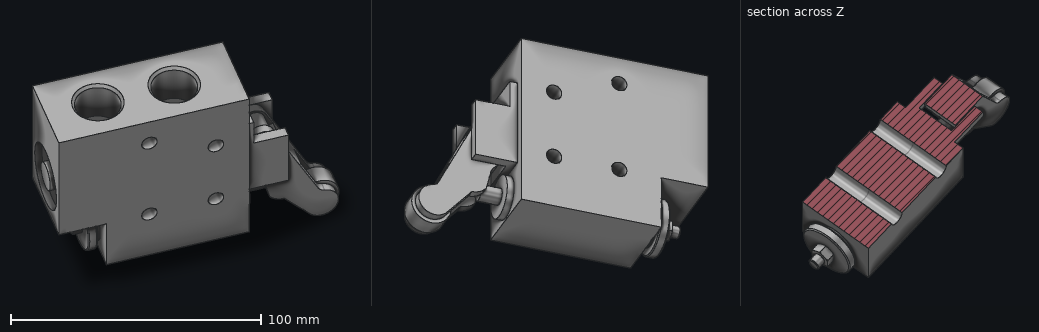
import cadquery as cq
import math

overall_length = 122.0
overall_height = 86.0

body_width = 34.0
body_length = 80.0
body_height = 75.0
step_length = 20.0
step_height = 23.0

cross_hole_diameter = 6.5
cross_hole_centres = [(66.0, 23.0), (66.0, 52.9), (38.0, 23.0), (38.0, 63.0)]

port_diameter = 18.7
port_mouth_diameter = 21.0
port_depth = 17.1
port_places_y = [22.0, 54.0]

recess_diameter = 28.0
recess_boss_diameter = 12.0
recess_depth = 3.0
recess_z = 40.0

spool_z = 10.0
collar_diameter = 18.0
front_collar_length = 1.0
rear_collar_length = 2.9
neck_diameter = 17.0
neck_length = 1.0
knob_diameter = 24.0
knob_thickness = 3.9
knob_chamfer = 0.5
nut_across_flats = 8.0
nut_thickness = 4.0
nut_chamfer = 0.4
stud_diameter = 5.0
stud_chamfer = 0.4
stud_end_y = 6.1
plunger_diameter = 7.0
plunger_end_y = 91.8

bracket_width = 25.4
bracket_plate_thickness = 3.3
bracket_bottom_z = 19.5
bracket_plate_top_z = 56.6
cheek_top_z = 45.0
cheek_end_y = 97.9
cheek_gap = 16.5

lever_width = 16.0
fork_gap = 8.5
hub_diameter = 11.0
hub_y = 88.9
hub_z = 39.6
pivot_diameter = 9.0
pivot_grip = 1.8
hub_slot_reach = 5.6
roller_diameter = 17.0
roller_width = 8.0
roller_y = overall_length - roller_diameter / 2
roller_z = body_height - overall_height + roller_diameter / 2
fork_end_diameter = 13.9
fork_slot_reach = 22.0
axle_diameter = 6.0
upper_edge_offset = 2.5
upper_fillet_radius = 3.7
slot_depth = 48.8

heel_corner = (97.7, 4.8)
heel_arc_middle = (94.4, 5.5)
contact_bottom = (91.6, 7.5)
contact_top = (89.8, 14.6)
throat_arc_middle = (88.8, 17.2)
throat_top = (86.6, 19.4)


def rod(diameter, start_y, end_y, z):
    """Round rod along Y on the body's middle plane."""
    return (
        cq.Workplane("XZ", origin=(0, start_y, z))
        .circle(diameter / 2)
        .extrude(start_y - end_y)
    )


def cross_rod(diameter, length, y, z):
    """Round rod along X, centred on the middle plane."""
    return (
        cq.Workplane("YZ", origin=(0, y, z))
        .circle(diameter / 2)
        .extrude(length / 2, both=True)
    )


def block(width, y_range, z_range):
    """Box centred on X and spanning the given Y and Z ranges."""
    length = y_range[1] - y_range[0]
    height = z_range[1] - z_range[0]
    return (
        cq.Workplane("XY", origin=(0, y_range[0], z_range[0]))
        .box(width, length, height, centered=(True, False, False))
    )


def make_body():
    """Stepped block with cross holes, two ports and the front recess."""
    body = block(body_width, (0, body_length), (0, body_height))
    body = body.cut(block(body_width, (0, step_length), (0, step_height)))
    for y, z in cross_hole_centres:
        body = body.cut(cross_rod(cross_hole_diameter, body_width, y, z))
    mouth_chamfer = (port_mouth_diameter - port_diameter) / 2
    for y in port_places_y:
        port = (
            cq.Workplane("XY", origin=(0, y, body_height))
            .circle(port_diameter / 2)
            .extrude(-port_depth)
        )
        mouth = (
            cq.Workplane("XY", origin=(0, y, body_height))
            .circle(port_mouth_diameter / 2)
            .extrude(-mouth_chamfer, taper=45)
        )
        body = body.cut(port).cut(mouth)
    recess = rod(recess_diameter, 0, recess_depth, recess_z)
    boss = rod(recess_boss_diameter, 0, recess_depth, recess_z)
    return body.cut(recess.cut(boss))


def make_knob():
    """Collar, neck, disc, hexagon nut and stud stacked forward from the step face."""
    neck_y = step_length - front_collar_length
    disc_y = neck_y - neck_length
    nut_y = disc_y - knob_thickness
    stud_y = nut_y - nut_thickness
    collar = rod(collar_diameter, step_length, neck_y, spool_z)
    neck = rod(neck_diameter, neck_y, disc_y, spool_z)
    disc = rod(knob_diameter, disc_y, nut_y, spool_z).faces("<Y or >Y").chamfer(knob_chamfer)
    nut_across_corners = nut_across_flats / math.cos(math.pi / 6)
    nut = (
        cq.Workplane("XZ", origin=(0, nut_y, spool_z))
        .transformed(rotate=(0, 0, 90))
        .polygon(6, nut_across_corners)
        .extrude(nut_thickness)
    )
    turned_envelope = rod(nut_across_corners, nut_y, stud_y, spool_z)
    nut = nut.intersect(turned_envelope.faces("<Y or >Y").chamfer(nut_chamfer))
    stud = rod(stud_diameter, stud_y, stud_end_y, spool_z).faces("<Y").chamfer(stud_chamfer)
    return collar.union(neck).union(disc).union(nut).union(stud)


def make_plunger():
    """Rear collar and the pin that reaches the lever."""
    collar = rod(collar_diameter, body_length, body_length + rear_collar_length, spool_z)
    return collar.union(rod(plunger_diameter, body_length, plunger_end_y, spool_z))


def make_bracket():
    """Plate and the two cheeks that hold the lever."""
    plate_end_y = body_length + bracket_plate_thickness
    plate = block(bracket_width, (body_length, plate_end_y), (bracket_bottom_z, bracket_plate_top_z))
    cheeks = block(bracket_width, (plate_end_y, cheek_end_y), (bracket_bottom_z, cheek_top_z))
    opening = block(cheek_gap, (plate_end_y, cheek_end_y), (bracket_bottom_z, cheek_top_z))
    return plate.union(cheeks.cut(opening))


def make_lever():
    """Slotted lever with its pivot, roller and roller axle."""
    hub_radius = hub_diameter / 2
    end_radius = fork_end_diameter / 2

    reach = math.hypot(hub_y - roller_y, hub_z - roller_z)
    reach_angle = math.atan2(hub_z - roller_z, hub_y - roller_y)
    edge_angle = reach_angle - math.asin((hub_radius - upper_edge_offset) / reach)

    def lever_point(along, outward):
        """Point (y, z) measured from the roller axis, along and square to the upper edge."""
        return (
            roller_y + along * math.cos(edge_angle) + outward * math.sin(edge_angle),
            roller_z + along * math.sin(edge_angle) - outward * math.cos(edge_angle),
        )

    hub_along = math.sqrt(reach ** 2 - (hub_radius - upper_edge_offset) ** 2)
    upper_edge_top = lever_point(hub_along, upper_edge_offset)
    upper_edge_end = lever_point(math.sqrt(end_radius ** 2 - upper_edge_offset ** 2), upper_edge_offset)

    heel_y = heel_corner[0] - roller_y
    heel_z = heel_corner[1] - roller_z
    touch_angle = math.atan2(heel_z, heel_y) + math.acos(end_radius / math.hypot(heel_y, heel_z))
    lower_edge_end = (
        roller_y + end_radius * math.cos(touch_angle),
        roller_z + end_radius * math.sin(touch_angle),
    )

    arm = (
        cq.Workplane("YZ")
        .moveTo(*upper_edge_top)
        .lineTo(*upper_edge_end)
        .lineTo(roller_y, roller_z)
        .lineTo(*lower_edge_end)
        .lineTo(*heel_corner)
        .threePointArc(heel_arc_middle, contact_bottom)
        .lineTo(*contact_top)
        .threePointArc(throat_arc_middle, throat_top)
        .lineTo(hub_y - hub_radius, hub_z)
        .lineTo(hub_y, hub_z)
        .close()
        .extrude(lever_width / 2, both=True)
    )
    lever = arm.union(cross_rod(hub_diameter, lever_width, hub_y, hub_z))
    lever = lever.union(cross_rod(fork_end_diameter, lever_width, roller_y, roller_z))
    upper_corner = cq.selectors.NearestToPointSelector((0, *upper_edge_end))
    lever = lever.edges(upper_corner).fillet(upper_fillet_radius)

    contact_angle = math.atan2(contact_top[1] - contact_bottom[1], contact_top[0] - contact_bottom[0])

    def slot(start, length, centre_y, centre_z):
        """Square-ended slot through the lever, starting a distance along from the given centre."""
        return (
            cq.Workplane("XY")
            .box(fork_gap, length, slot_depth)
            .translate((0, start + length / 2, 0))
            .rotate((0, 0, 0), (1, 0, 0), math.degrees(contact_angle))
            .translate((0, centre_y, centre_z))
        )

    lever = lever.cut(slot(-fork_end_diameter, fork_end_diameter + fork_slot_reach, roller_y, roller_z))
    lever = lever.cut(slot(-hub_slot_reach, hub_slot_reach + hub_diameter, hub_y, hub_z))
    pivot = cross_rod(pivot_diameter, cheek_gap + 2 * pivot_grip, hub_y, hub_z)
    roller = cross_rod(roller_diameter, roller_width, roller_y, roller_z)
    axle = cross_rod(axle_diameter, lever_width, roller_y, roller_z)
    return lever.union(pivot).union(roller).union(axle)


result = (
    make_body()
    .union(make_knob())
    .union(make_plunger())
    .union(make_bracket())
    .union(make_lever())
)